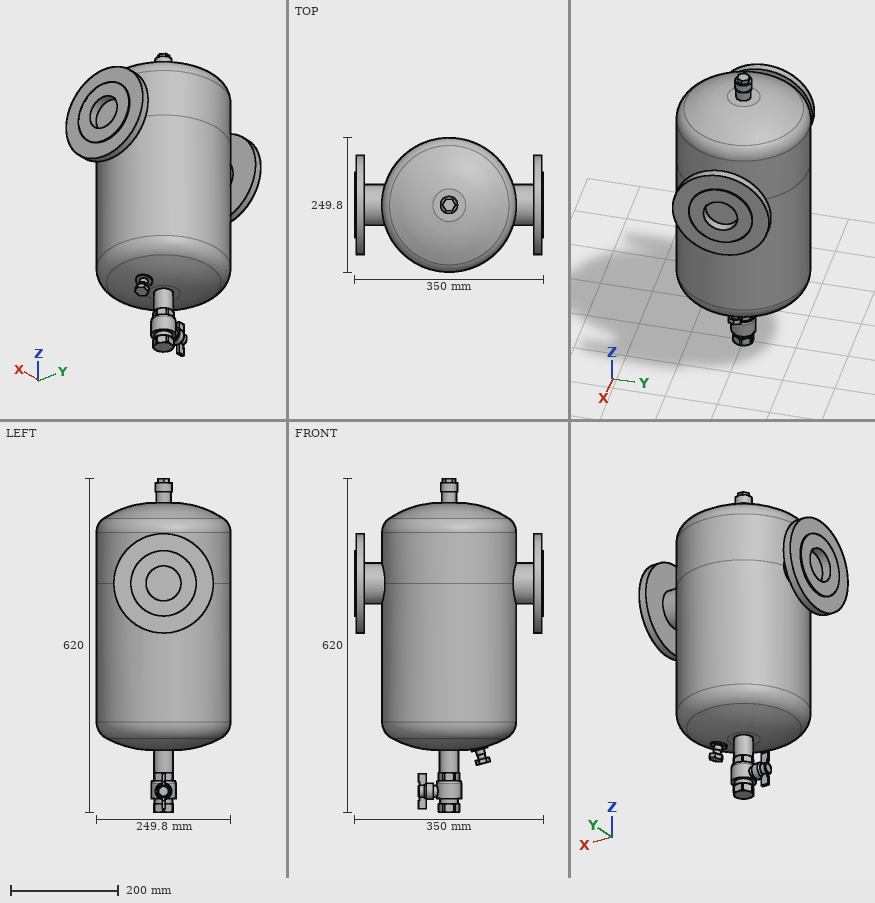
import cadquery as cq
import math


VESSEL_R = 124.9
FLAT_R = 30.5
TOP_SHELL_Z = 95.0
TOP_KNUCKLE_R = 111.0
TOP_KNUCKLE_Z = 121.0
TOP_Z = 149.5
BOTTOM_SHELL_Z = -256.5
BOTTOM_KNUCKLE_R = 106.5
BOTTOM_KNUCKLE_Z = -287.5
BOTTOM_Z = -310.0

FACE_TO_FACE = 350.0
FLANGE_D = 185.0
FLANGE_PLATE_T = 15.5
RAISED_FACE_D = 121.5
RAISED_FACE_T = 2.5
FLANGE_BORE_D = 65.0
NOZZLE_D = 76.0
NOZZLE_END_X = FACE_TO_FACE / 2 - FLANGE_PLATE_T - RAISED_FACE_T

VENT_PIPE_D = 28.0
VENT_COLLAR_D = 31.5
VENT_COLLAR_Z = 170.0
VENT_COLLAR_H = 17.0
VENT_HEX_FLATS = 21.0
VENT_HEX_H = 8.0

TOTAL_HEIGHT = 620.0
DRAIN_PIPE_D = 36.0
VALVE_TOP_Z = -351.5
VALVE_BODY_TOP_Z = -367.0
VALVE_BODY_BOTTOM_Z = -400.0
VALVE_BOTTOM_Z = VENT_COLLAR_Z + VENT_COLLAR_H + VENT_HEX_H - TOTAL_HEIGHT
VALVE_BODY_D = 46.5
VALVE_BODY_BEVEL_H = 4.5
VALVE_BODY_BEVEL_W = 1.0
VALVE_NECK_D = 34.0
VALVE_HEX_FLATS = 36.0
VALVE_HEX_ROUND_D = 39.5
VALVE_HEX_BEVEL = 1.55
LOWER_HEX_H = 16.0

STEM_Z = -386.0
STEM_D = 22.5
HUB_START_X = -29.0
HUB_D = 30.5
HUB_END_X = -46.0
HUB_BEVEL_L = 4.0
HUB_BEVEL_W = 3.0
PLATE_INNER_X = -42.0
PLATE_W = 15.0
PLATE_H = 66.0
PLATE_T = 5.5
PLATE_NOTCH_H = 35.0
PLATE_NOTCH_DEPTH = 2.0
KNOB_D = 22.5
KNOB_BEVEL = 2.0

BLEED_TILT = 15.0
BLEED_X = 57.0
BLEED_Z = -309.0
BOSS_D = 31.0
BOSS_T = 7.5
BLEED_COLLAR_D = 16.0
BLEED_COLLAR_L = 9.0
BLEED_SHANK_D = 14.0
BLEED_SHANK_L = 8.5
BLEED_NUT_D = 26.5
BLEED_NUT_L = 8.5


def cylinder(diameter, start, end):
    """Upright cylinder on the Z axis between two heights."""
    return cq.Workplane("XY").workplane(offset=start).circle(diameter / 2).extrude(end - start)


def hexagon(across_flats, start, end):
    """Upright hexagon on the Z axis with two corners on the X axis."""
    across_corners = across_flats / math.cos(math.radians(30))
    return cq.Workplane("XY").workplane(offset=start).polygon(6, across_corners).extrude(end - start)


def rod_x(diameter, start, end):
    """Cylinder along X at the height of the valve stem."""
    return (
        cq.Workplane("YZ", origin=(start, 0, STEM_Z))
        .circle(diameter / 2)
        .extrude(end - start)
    )


def make_vessel_half(shell_z, knuckle_r, knuckle_z, end_z):
    """Half of the shell from height zero to one end, with its knuckle, dome and flat."""
    return (
        cq.Workplane("XZ")
        .lineTo(VESSEL_R, 0)
        .lineTo(VESSEL_R, shell_z)
        .tangentArcPoint((knuckle_r, knuckle_z), relative=False)
        .tangentArcPoint((FLAT_R, end_z), relative=False)
        .lineTo(0, end_z)
        .close()
        .revolve(360, (0, 0, 0), (0, 1, 0))
    )


def make_vessel():
    upper_half = make_vessel_half(TOP_SHELL_Z, TOP_KNUCKLE_R, TOP_KNUCKLE_Z, TOP_Z)
    lower_half = make_vessel_half(BOTTOM_SHELL_Z, BOTTOM_KNUCKLE_R, BOTTOM_KNUCKLE_Z, BOTTOM_Z)
    nozzles = (
        cq.Workplane("YZ")
        .circle(NOZZLE_D / 2)
        .extrude(NOZZLE_END_X, both=True)
    )
    vent_pipe = cylinder(VENT_PIPE_D, 0, VENT_COLLAR_Z)
    drain_pipe = cylinder(DRAIN_PIPE_D, VALVE_TOP_Z, 0)
    return upper_half.union(lower_half).union(nozzles).union(vent_pipe).union(drain_pipe)


def make_flange(side):
    """Flange on the +X (side = 1) or -X (side = -1) nozzle."""
    back = cq.Workplane("YZ", origin=(side * NOZZLE_END_X, 0, 0))
    full_thickness = FLANGE_PLATE_T + RAISED_FACE_T
    plate = back.circle(FLANGE_D / 2).extrude(side * FLANGE_PLATE_T)
    raised_face = back.circle(RAISED_FACE_D / 2).extrude(side * full_thickness)
    bore = back.circle(FLANGE_BORE_D / 2).extrude(side * full_thickness)
    return plate.union(raised_face).cut(bore)


def make_vent_cap():
    collar_top = VENT_COLLAR_Z + VENT_COLLAR_H
    collar = cylinder(VENT_COLLAR_D, VENT_COLLAR_Z, collar_top)
    return collar.union(hexagon(VENT_HEX_FLATS, collar_top, collar_top + VENT_HEX_H))


def make_valve_hex(start, end):
    """Valve end hexagon with its corners turned down and both rims bevelled."""
    turned = cylinder(VALVE_HEX_ROUND_D, start, end).faces("|Z").chamfer(VALVE_HEX_BEVEL)
    return hexagon(VALVE_HEX_FLATS, start, end).intersect(turned)


def make_valve():
    lower_hex_top = VALVE_BOTTOM_Z + LOWER_HEX_H
    body = (
        cylinder(VALVE_BODY_D, VALVE_BODY_BOTTOM_Z, VALVE_BODY_TOP_Z)
        .faces(">Z")
        .chamfer(VALVE_BODY_BEVEL_H, VALVE_BODY_BEVEL_W)
    )
    neck = cylinder(VALVE_NECK_D, lower_hex_top, VALVE_BODY_BOTTOM_Z)
    stem = rod_x(STEM_D, HUB_START_X, 0)
    return (
        body.union(neck)
        .union(stem)
        .union(make_valve_hex(VALVE_BODY_TOP_Z, VALVE_TOP_Z))
        .union(make_valve_hex(VALVE_BOTTOM_Z, lower_hex_top))
    )


def make_handle():
    plate_outer_x = PLATE_INNER_X - PLATE_W
    hub = rod_x(HUB_D, HUB_START_X, HUB_END_X).faces("<X").chamfer(HUB_BEVEL_L, HUB_BEVEL_W)
    plate = (
        cq.Workplane("XY", origin=(PLATE_INNER_X - PLATE_W / 2, 0, STEM_Z))
        .box(PLATE_W, PLATE_T, PLATE_H)
    )
    notch = (
        cq.Workplane("XY", origin=(plate_outer_x, 0, STEM_Z))
        .box(2 * PLATE_NOTCH_DEPTH, PLATE_T, PLATE_NOTCH_H)
    )
    knob = rod_x(KNOB_D, HUB_END_X, plate_outer_x).faces("<X").chamfer(KNOB_BEVEL)
    return hub.union(plate.cut(notch)).union(knob)


def make_bleed_screw(vessel):
    tilt = math.radians(BLEED_TILT)
    axis_plane = cq.Plane(
        origin=(BLEED_X, 0, BLEED_Z),
        xDir=(math.cos(tilt), 0, math.sin(tilt)),
        normal=(math.sin(tilt), 0, -math.cos(tilt)),
    )
    nut_start = BLEED_COLLAR_L + BLEED_SHANK_L
    boss = cq.Workplane(axis_plane).circle(BOSS_D / 2).extrude(-BOSS_T)
    collar = cq.Workplane(axis_plane).circle(BLEED_COLLAR_D / 2).extrude(BLEED_COLLAR_L)
    shank = cq.Workplane(axis_plane).circle(BLEED_SHANK_D / 2).extrude(nut_start)
    nut = (
        cq.Workplane(axis_plane)
        .workplane(offset=nut_start)
        .polygon(6, BLEED_NUT_D)
        .extrude(BLEED_NUT_L)
    )
    return boss.union(collar).union(shank).union(nut).cut(vessel)


vessel = make_vessel()
flanges = [make_flange(side) for side in (-1, 1)]
vent_cap = make_vent_cap()
valve = make_valve()
handle = make_handle()
bleed_screw = make_bleed_screw(vessel)

bodies = [vessel, *flanges, vent_cap, valve, handle, bleed_screw]
result = cq.Compound.makeCompound([body.solids().val() for body in bodies])